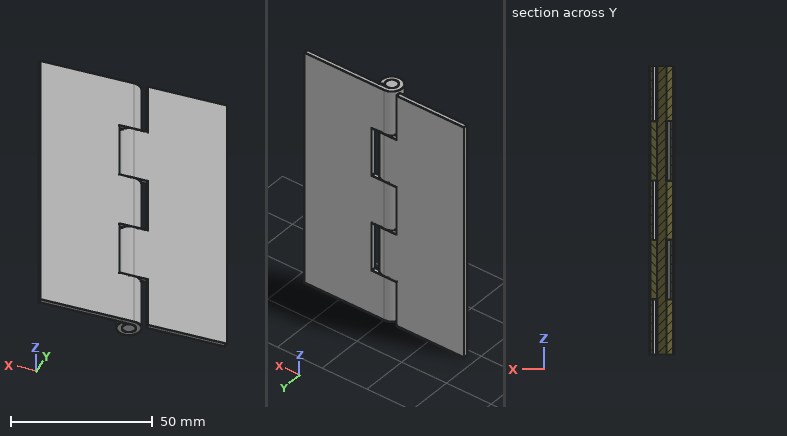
import cadquery as cq
import math

hinge_width = 71.5
hinge_height = 102.0
sheet_thickness = 2.0
pin_diameter = 5.0
middle_knuckle_length = 21.0
middle_knuckle_count = 3
notch_edge_offset = 5.5
curl_gap = 0.02

bore_radius = pin_diameter / 2
knuckle_radius = bore_radius + sheet_thickness
half_width = hinge_width / 2
end_knuckle_length = (hinge_height - middle_knuckle_count * middle_knuckle_length) / 2
curl_end_angle = math.asin((bore_radius - curl_gap) / knuckle_radius)

knuckle_lengths = [end_knuckle_length] + [middle_knuckle_length] * middle_knuckle_count + [end_knuckle_length]
knuckle_spans = []
knuckle_bottom = -hinge_height / 2
for length in knuckle_lengths:
    knuckle_spans.append((knuckle_bottom, knuckle_bottom + length))
    knuckle_bottom += length


def polar(radius, angle):
    return (radius * math.cos(angle), radius * math.sin(angle))


def make_plate():
    """Flat sheet on the +X side, ending at the cleared edge."""
    plate_width = half_width - notch_edge_offset
    return (
        cq.Workplane("XY", origin=(notch_edge_offset, bore_radius, 0))
        .box(plate_width, sheet_thickness, hinge_height, centered=(False, False, True))
    )


def make_knuckle(bottom, top):
    """Sheet that runs from the plate to the axis and curls round the pin to a radial end face."""
    curl_middle_angle = (math.pi / 2 + curl_end_angle + 2 * math.pi) / 2
    return (
        cq.Workplane("XY", origin=(0, 0, bottom))
        .moveTo(notch_edge_offset, knuckle_radius)
        .lineTo(0, knuckle_radius)
        .threePointArc(polar(knuckle_radius, curl_middle_angle), polar(knuckle_radius, curl_end_angle))
        .lineTo(*polar(bore_radius, curl_end_angle))
        .threePointArc(polar(bore_radius, curl_middle_angle), (0, bore_radius))
        .lineTo(notch_edge_offset, bore_radius)
        .close()
        .extrude(top - bottom)
    )


def make_leaf(spans):
    """Plate on the +X side with one rolled knuckle for each span."""
    leaf = make_plate()
    for bottom, top in spans:
        leaf = leaf.union(make_knuckle(bottom, top))
    return leaf


def make_pin():
    """Plain round pin, flush with both ends of the hinge."""
    return cq.Workplane("XY", origin=(0, 0, -hinge_height / 2)).circle(bore_radius).extrude(hinge_height)


right_leaf = make_leaf(knuckle_spans[0::2])
left_leaf = make_leaf(knuckle_spans[1::2]).mirror("YZ")
pin = make_pin()

result = cq.Compound.makeCompound([right_leaf.solids().val(), left_leaf.solids().val(), pin.val()])